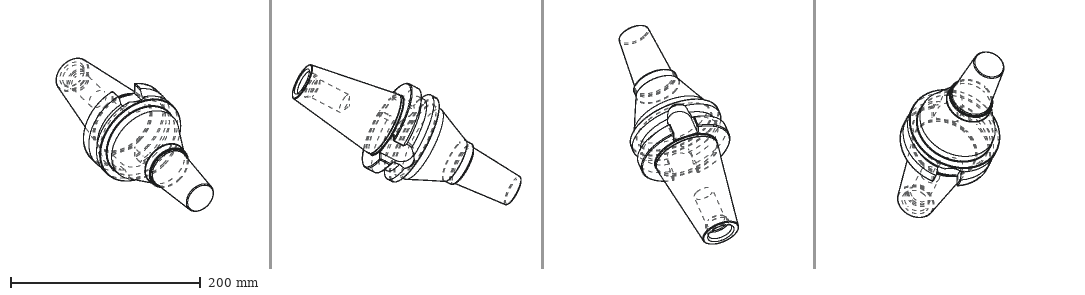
import cadquery as cq
import math

LENGTH = 261.8
EDGE_BREAK = 0.8
FOOT_BEVEL = 0.8

TAPER_RATIO = 7 / 24
TAPER_LENGTH = 101.0
TAPER_LARGE_RADIUS = 34.95
TAPER_SMALL_RADIUS = TAPER_LARGE_RADIUS - TAPER_LENGTH * TAPER_RATIO / 2
NECK_RADIUS = 34.5
NECK_START = 101.8

FLANGE_RADIUS = 50.0
FLANGE_START = 104.7
FLANGE_END = 139.8
FLANGE_CHAMFER = 1.0
GROOVE_RADIUS = 42.5
GROOVE_FLOOR_START = 121.5
GROOVE_FLOOR_END = 128.3
GROOVE_ANGLE = 30
GROOVE_SIDE_WIDTH = (FLANGE_RADIUS - GROOVE_RADIUS) * math.tan(math.radians(GROOVE_ANGLE))

SLOT_WIDTH = 26.2
SLOT_FLOOR = 35.3
SLOT_END = 136.5
SLOT_ENTRY_CHAMFER = 1.0
SLOT_END_CHAMFER = 0.8

BODY_RADIUS = 41.5
BODY_CONE_START = 149.5
COLLAR_RADIUS = 24.0
COLLAR_START = 189.0
COLLAR_STEP = 0.5
COLLAR_END = 198.2
COLLAR_FOOT_RADIUS = 22.3
NOSE_START = 199.5
NOSE_LARGE_RADIUS = 21.5
NOSE_SMALL_RADIUS = 16.8
NOSE_CHAMFER = 1.0

BORE_MOUTH_RADIUS = 15.0
BORE_RADIUS = 13.0
BORE_MOUTH_DEPTH = 2.5
RELIEF_START = 11.0
RELIEF_RADIUS = 12.0
THREAD_START = 14.7
THREAD_RADIUS = 10.5
BORE_DEPTH = 52.4
DRILL_POINT_ANGLE = 118


def revolve_about_x(points):
    """Revolve a closed outline of (x, radius) points about the X axis."""
    return cq.Workplane("XY").polyline(points).close().revolve(360, (0, 0, 0), (1, 0, 0))


def make_body():
    return revolve_about_x([
        (0, 0),
        (0, TAPER_SMALL_RADIUS - EDGE_BREAK),
        (EDGE_BREAK, TAPER_SMALL_RADIUS),
        (TAPER_LENGTH, TAPER_LARGE_RADIUS),
        (NECK_START, NECK_RADIUS),
        (FLANGE_START - FOOT_BEVEL, NECK_RADIUS),
        (FLANGE_START, NECK_RADIUS + FOOT_BEVEL),
        (FLANGE_START, FLANGE_RADIUS - FLANGE_CHAMFER),
        (FLANGE_START + FLANGE_CHAMFER, FLANGE_RADIUS),
        (GROOVE_FLOOR_START - GROOVE_SIDE_WIDTH, FLANGE_RADIUS),
        (GROOVE_FLOOR_START, GROOVE_RADIUS),
        (GROOVE_FLOOR_END, GROOVE_RADIUS),
        (GROOVE_FLOOR_END + GROOVE_SIDE_WIDTH, FLANGE_RADIUS),
        (FLANGE_END - EDGE_BREAK, FLANGE_RADIUS),
        (FLANGE_END, FLANGE_RADIUS - EDGE_BREAK),
        (FLANGE_END, BODY_RADIUS + FOOT_BEVEL),
        (FLANGE_END + FOOT_BEVEL, BODY_RADIUS),
        (BODY_CONE_START, BODY_RADIUS),
        (COLLAR_START, COLLAR_RADIUS + COLLAR_STEP),
        (COLLAR_START + COLLAR_STEP, COLLAR_RADIUS),
        (COLLAR_END - EDGE_BREAK, COLLAR_RADIUS),
        (COLLAR_END, COLLAR_RADIUS - EDGE_BREAK),
        (COLLAR_END, COLLAR_FOOT_RADIUS),
        (NOSE_START, NOSE_LARGE_RADIUS),
        (LENGTH - NOSE_CHAMFER, NOSE_SMALL_RADIUS),
        (LENGTH, NOSE_SMALL_RADIUS - NOSE_CHAMFER),
        (LENGTH, 0),
    ])


def make_bore():
    relief_chamfer = BORE_RADIUS - RELIEF_RADIUS
    thread_chamfer = RELIEF_RADIUS - THREAD_RADIUS
    point_depth = THREAD_RADIUS / math.tan(math.radians(DRILL_POINT_ANGLE / 2))
    return revolve_about_x([
        (0, 0),
        (0, BORE_MOUTH_RADIUS),
        (BORE_MOUTH_DEPTH, BORE_RADIUS),
        (RELIEF_START, BORE_RADIUS),
        (RELIEF_START + relief_chamfer, RELIEF_RADIUS),
        (THREAD_START, RELIEF_RADIUS),
        (THREAD_START + thread_chamfer, THREAD_RADIUS),
        (BORE_DEPTH, THREAD_RADIUS),
        (BORE_DEPTH + point_depth, 0),
    ])


def make_drive_slot():
    """Slot on the +Z side, open at the taper end and round at the other, with bevelled rims."""
    half_width = SLOT_WIDTH / 2
    wide_half_width = half_width + SLOT_ENTRY_CHAMFER
    chamfer_end = FLANGE_START + SLOT_ENTRY_CHAMFER
    arc_center = SLOT_END - half_width
    slot = (
        cq.Workplane("XY", origin=(0, 0, SLOT_FLOOR))
        .moveTo(FLANGE_START, -wide_half_width)
        .lineTo(chamfer_end, -half_width)
        .lineTo(arc_center, -half_width)
        .threePointArc((SLOT_END, 0), (arc_center, half_width))
        .lineTo(chamfer_end, half_width)
        .lineTo(FLANGE_START, wide_half_width)
        .close()
        .extrude(FLANGE_RADIUS)
    )

    rim_height = math.sqrt(FLANGE_RADIUS**2 - wide_half_width**2)
    bevel_floor = rim_height - SLOT_ENTRY_CHAMFER
    top_half_width = half_width + FLANGE_RADIUS - bevel_floor
    rim_bevel = (
        cq.Workplane("YZ", origin=(FLANGE_START, 0, 0))
        .moveTo(-half_width, bevel_floor)
        .lineTo(half_width, bevel_floor)
        .lineTo(top_half_width, FLANGE_RADIUS)
        .lineTo(-top_half_width, FLANGE_RADIUS)
        .close()
        .extrude(GROOVE_FLOOR_START - FLANGE_START)
    )

    end_bevel = cq.Workplane("XY").add(
        cq.Solid.makeCone(
            half_width,
            half_width + SLOT_END_CHAMFER,
            SLOT_END_CHAMFER,
            pnt=cq.Vector(arc_center, 0, FLANGE_RADIUS - SLOT_END_CHAMFER),
        )
    )
    return slot.union(rim_bevel).union(end_bevel)


slot_cutter = make_drive_slot()
result = make_body().cut(make_bore())
for turn in (0, 180):
    result = result.cut(slot_cutter.rotate((0, 0, 0), (1, 0, 0), turn))